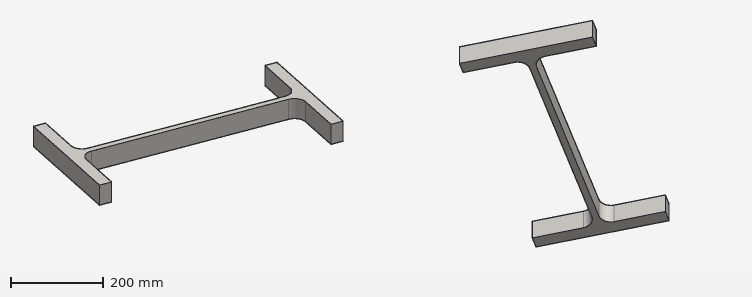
import cadquery as cq

section_depth = 600.0
flange_width = 300.0
flange_thickness = 30.0
web_thickness = 15.5
root_radius = 27.0
slice_length = 50.0

flange_offset = (section_depth - flange_thickness) / 2


def make_flange(center_y):
    """Flat bar across one end of the web."""
    return (
        cq.Workplane("XY")
        .center(0, center_y)
        .rect(flange_width, flange_thickness)
        .extrude(slice_length)
    )


web = cq.Workplane("XY").rect(web_thickness, section_depth).extrude(slice_length)
beam = web.union(make_flange(flange_offset)).union(make_flange(-flange_offset))

root_edges = beam.edges("|Z").edges(
    cq.selectors.BoxSelector(
        (-web_thickness, -flange_offset, 0),
        (web_thickness, flange_offset, slice_length),
    )
)
result = root_edges.fillet(root_radius)